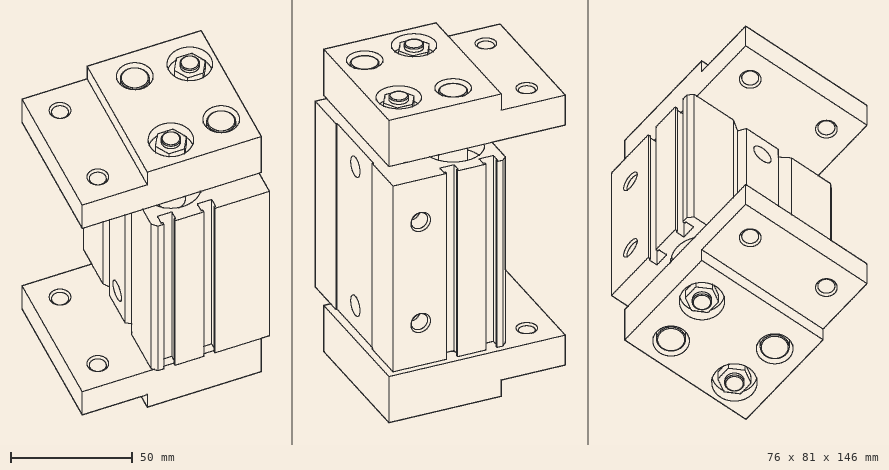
import cadquery as cq
import math


TOTAL_HEIGHT = 146.0
TIP_PROJECTION = 0.9
PLATE_THICKNESS = 22.0
HOUSING_HEIGHT = 88.6
PLATE_OUTER_Z = TOTAL_HEIGHT / 2 - TIP_PROJECTION
PLATE_INNER_Z = PLATE_OUTER_Z - PLATE_THICKNESS

HOUSING_WIDTH = 76.0
HOUSING_DEPTH = 52.0
FRONT_CHAMFER = 2.2
BACK_RELIEF_WIDTH = 35.3
BACK_RELIEF_DEPTH = 0.6

SLOT_DISTANCES_FROM_BACK = (26.9, 44.7)
SLOT_OPENING = 5.0
SLOT_INNER_WIDTH = 6.4
SLOT_LIP = 1.2
SLOT_DEPTH = 5.1

GROOVE_INNER_X = 8.3
GROOVE_BOTTOM_X = 10.5
GROOVE_OUTER_X = 15.2
GROOVE_DEPTH = 3.2

MOUNT_HOLE_DIAMETER = 9.0
MOUNT_HOLE_Z = 33.1

PORT_DIAMETER = 7.5
PORT_MOUTH_DIAMETER = 8.9
PORT_MOUTH_DEPTH = 1.2
PORT_DEPTH = 8.8
PORT_TIP_ANGLE = 118.0
PORT_Z = 24.1

ROD_DIAMETER = 12.0
ROD_END_CHAMFER = 0.5
ROD_END_SETBACK = 1.0
BACK_ROD_X = 16.6
FRONT_ROD_X = 19.1
BACK_ROD_Y = -12.5
FRONT_ROD_Y = -36.0
BORE_RECESS_DIAMETER = 25.7
BORE_RECESS_DEPTH = 8.5

PLATE_WIDTH = 63.8
PLATE_BACK_Y = -1.0
PLATE_FRONT_Y = -81.0
LEDGE_THICKNESS = 14.3
LEDGE_HOLE_X = 20.0
LEDGE_HOLE_Y = -69.0
LEDGE_HOLE_DIAMETER = 7.0
LEDGE_HOLE_MOUTH_DIAMETER = 8.9
LEDGE_HOLE_MOUTH_DEPTH = (LEDGE_HOLE_MOUTH_DIAMETER - LEDGE_HOLE_DIAMETER) / 2
CLEARANCE_DIAMETER = 15.0

NUT_ACROSS_FLATS = 12.0
NUT_HEIGHT = 5.0
NUT_SETBACK = 1.0
COUNTERBORE_DIAMETER = 18.7
COUNTERBORE_DEPTH = NUT_HEIGHT + NUT_SETBACK
TIP_DIAMETER = 8.0
TIP_CHAMFER = 0.5

CARRIED_RODS = [(-BACK_ROD_X, BACK_ROD_Y), (FRONT_ROD_X, FRONT_ROD_Y)]
PASSING_RODS = [(-x, y) for x, y in CARRIED_RODS]


def cylinder(points, diameter, z_start, z_end):
    """Upright cylinders between two heights at the given X, Y points."""
    return (
        cq.Workplane("XY", origin=(0, 0, z_start))
        .pushPoints(points)
        .circle(diameter / 2)
        .extrude(z_end - z_start)
    )


def mouth_cone(base, direction, mouth_diameter, hole_diameter, depth):
    """Countersink cone narrowing from the mouth of a hole to the hole's own diameter."""
    return cq.Solid.makeCone(
        mouth_diameter / 2, hole_diameter / 2, depth, cq.Vector(*base), cq.Vector(*direction)
    )


def upright_prism(outline):
    """Closed X, Y outline extruded over the full height of the housing."""
    return (
        cq.Workplane("XY", origin=(0, 0, -HOUSING_HEIGHT / 2))
        .polyline(outline)
        .close()
        .extrude(HOUSING_HEIGHT)
    )


def housing_block():
    block = (
        cq.Workplane("XY")
        .box(HOUSING_WIDTH, HOUSING_DEPTH, HOUSING_HEIGHT)
        .translate((0, -HOUSING_DEPTH / 2, 0))
    )
    block = block.edges("|Z and <Y").chamfer(FRONT_CHAMFER)
    relief = cq.Workplane("XY").box(BACK_RELIEF_WIDTH, 2 * BACK_RELIEF_DEPTH, HOUSING_HEIGHT)
    return block.cut(relief)


def t_slot(side, distance_from_back):
    """T-slot in the side face; side is -1 for left and 1 for right."""
    face_x = side * HOUSING_WIDTH / 2
    lip_x = face_x - side * SLOT_LIP
    floor_x = face_x - side * SLOT_DEPTH
    y = -distance_from_back
    return upright_prism([
        (face_x, y + SLOT_OPENING / 2),
        (lip_x, y + SLOT_OPENING / 2),
        (lip_x, y + SLOT_INNER_WIDTH / 2),
        (floor_x, y + SLOT_INNER_WIDTH / 2),
        (floor_x, y - SLOT_INNER_WIDTH / 2),
        (lip_x, y - SLOT_INNER_WIDTH / 2),
        (lip_x, y - SLOT_OPENING / 2),
        (face_x, y - SLOT_OPENING / 2),
    ])


def v_groove(side):
    """Uneven V-groove in the front face, steeper towards the middle."""
    return upright_prism([
        (side * GROOVE_INNER_X, -HOUSING_DEPTH),
        (side * GROOVE_BOTTOM_X, -HOUSING_DEPTH + GROOVE_DEPTH),
        (side * GROOVE_OUTER_X, -HOUSING_DEPTH),
    ])


def port(z):
    """Blind drilled port with a countersunk mouth and a conical bottom."""
    mouth = (-HOUSING_WIDTH / 2, BACK_ROD_Y, z)
    inward = cq.Vector(1, 0, 0)
    radius = PORT_DIAMETER / 2
    tip_length = radius / math.tan(math.radians(PORT_TIP_ANGLE / 2))
    drill = cq.Solid.makeCylinder(radius, PORT_DEPTH, cq.Vector(*mouth), inward)
    bottom = cq.Vector(*mouth) + inward * PORT_DEPTH
    tip = cq.Solid.makeCone(radius, 0, tip_length, bottom, inward)
    countersink = mouth_cone(mouth, (1, 0, 0), PORT_MOUTH_DIAMETER, PORT_DIAMETER, PORT_MOUTH_DEPTH)
    return cq.Workplane(drill).union(cq.Workplane(tip)).union(cq.Workplane(countersink))


def make_housing():
    housing = housing_block()
    for side in (-1, 1):
        for distance in SLOT_DISTANCES_FROM_BACK:
            housing = housing.cut(t_slot(side, distance))
        housing = housing.cut(v_groove(side))

    mount_holes = (
        cq.Workplane("XZ")
        .pushPoints([(0, MOUNT_HOLE_Z), (0, -MOUNT_HOLE_Z)])
        .circle(MOUNT_HOLE_DIAMETER / 2)
        .extrude(HOUSING_DEPTH)
    )
    housing = housing.cut(mount_holes)

    for z in (-PORT_Z, PORT_Z):
        housing = housing.cut(port(z))

    end_z = HOUSING_HEIGHT / 2
    rods = CARRIED_RODS + PASSING_RODS
    housing = housing.cut(cylinder(rods, ROD_DIAMETER, -end_z, end_z))

    front_rods = [(x, FRONT_ROD_Y) for x in (-FRONT_ROD_X, FRONT_ROD_X)]
    for end in (-1, 1):
        recess_floor_z = end * (end_z - BORE_RECESS_DEPTH)
        housing = housing.cut(cylinder(front_rods, BORE_RECESS_DIAMETER, recess_floor_z, end * end_z))
    return housing


def plate_block():
    """Stepped plate: full thickness over the housing, thinner ledge in front of it."""
    ledge_z = PLATE_INNER_Z + LEDGE_THICKNESS
    return (
        cq.Workplane("YZ", origin=(-PLATE_WIDTH / 2, 0, 0))
        .polyline([
            (PLATE_BACK_Y, PLATE_INNER_Z),
            (PLATE_FRONT_Y, PLATE_INNER_Z),
            (PLATE_FRONT_Y, ledge_z),
            (-HOUSING_DEPTH, ledge_z),
            (-HOUSING_DEPTH, PLATE_OUTER_Z),
            (PLATE_BACK_Y, PLATE_OUTER_Z),
        ])
        .close()
        .extrude(PLATE_WIDTH)
    )


def cut_ledge_holes(plate):
    """Through holes in the ledge, countersunk at both ends."""
    ledge_z = PLATE_INNER_Z + LEDGE_THICKNESS
    points = [(x, LEDGE_HOLE_Y) for x in (-LEDGE_HOLE_X, LEDGE_HOLE_X)]
    plate = plate.cut(cylinder(points, LEDGE_HOLE_DIAMETER, PLATE_INNER_Z, ledge_z))
    for x, y in points:
        for z, inward in ((PLATE_INNER_Z, 1), (ledge_z, -1)):
            cone = mouth_cone(
                (x, y, z),
                (0, 0, inward),
                LEDGE_HOLE_MOUTH_DIAMETER,
                LEDGE_HOLE_DIAMETER,
                LEDGE_HOLE_MOUTH_DEPTH,
            )
            plate = plate.cut(cq.Workplane(cone))
    return plate


def make_plate_with_rods():
    """Upper end plate with its nuts, threaded tips and the two rods it carries, as one solid."""
    plate = cut_ledge_holes(plate_block())
    plate = plate.cut(cylinder(PASSING_RODS, CLEARANCE_DIAMETER, PLATE_INNER_Z, PLATE_OUTER_Z))

    floor_z = PLATE_OUTER_Z - COUNTERBORE_DEPTH
    plate = plate.cut(cylinder(CARRIED_RODS, COUNTERBORE_DIAMETER, floor_z, PLATE_OUTER_Z))

    across_corners = NUT_ACROSS_FLATS / math.cos(math.pi / 6)
    nut = (
        cq.Workplane("XY", origin=(0, 0, floor_z))
        .polygon(6, across_corners)
        .extrude(NUT_HEIGHT)
        .rotate((0, 0, 0), (0, 0, 1), 30)
    )
    for x, y in CARRIED_RODS:
        plate = plate.union(nut.translate((x, y, 0)))

    tips = cylinder(CARRIED_RODS, TIP_DIAMETER, floor_z, TOTAL_HEIGHT / 2)
    tips = tips.faces(">Z").edges().chamfer(TIP_CHAMFER)

    rod_end_z = -PLATE_OUTER_Z + ROD_END_SETBACK
    rods = cylinder(CARRIED_RODS, ROD_DIAMETER, rod_end_z, PLATE_INNER_Z)
    rods = rods.faces("<Z").edges().chamfer(ROD_END_CHAMFER)
    return plate.union(tips).union(rods)


housing = make_housing()
upper_plate = make_plate_with_rods()
plates = [upper_plate.rotate((0, 0, 0), (0, 1, 0), turn) for turn in (0, 180)]

result = cq.Compound.makeCompound([
    housing.solids().val(),
    *[plate.solids().val() for plate in plates],
])